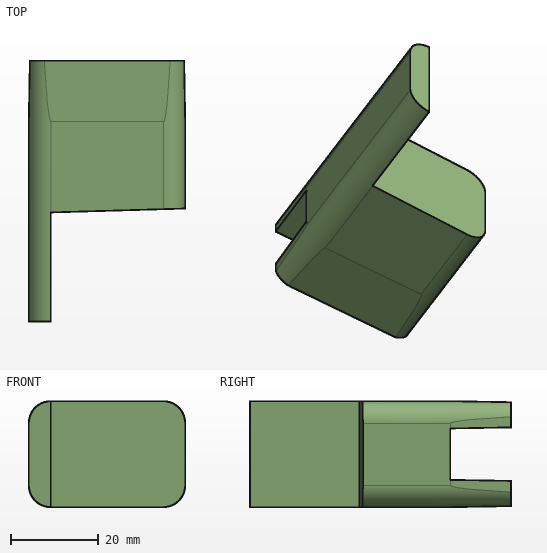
import cadquery as cq
import math

width = 36.0
length = 60.0
height = 24.4
corner_radius = 5.1

slot_depth = 13.9
slot_root_height = 11.75
draft_angle = 1.0
draft_offset = slot_depth * math.tan(math.radians(draft_angle))

plate_thickness = corner_radius
block_length_at_plate = 34.9
block_length_at_side = 34.0

draft_start = length - slot_depth


def make_body():
    """Rounded rectangular bar running along Y."""
    bar = cq.Workplane("XY").box(width, length, height, centered=(False, False, True))
    return bar.edges("|Y").fillet(corner_radius)


def make_front_relief():
    """Cutter that leaves only the side plate ahead of the slanted block face."""
    return (
        cq.Workplane("XY")
        .moveTo(plate_thickness, 0)
        .lineTo(width, 0)
        .lineTo(width, length - block_length_at_side)
        .lineTo(plate_thickness, length - block_length_at_plate)
        .close()
        .extrude(height / 2, both=True)
    )


def make_slot():
    """Rear slot through the width, opening slightly towards the end."""
    root_z = slot_root_height / 2
    mouth_z = root_z + draft_offset
    return (
        cq.Workplane("YZ")
        .polyline([
            (draft_start, -root_z),
            (length, -mouth_z),
            (length, mouth_z),
            (draft_start, root_z),
        ])
        .close()
        .extrude(width)
    )


def make_draft_wedge(plane, face_position, inward, half_depth):
    """Thin wedge that tapers one outer flat inward towards the rear end."""
    return (
        cq.Workplane(plane)
        .polyline([
            (face_position, draft_start),
            (face_position, length),
            (face_position + inward * draft_offset, length),
        ])
        .close()
        .extrude(half_depth, both=True)
    )


result = make_body().cut(make_front_relief()).cut(make_slot())

side_plane = cq.Plane(origin=(0, 0, 0), xDir=(0, 0, 1), normal=(-1, 0, 0))
for position, inward in ((0, 1), (width, -1)):
    result = result.cut(make_draft_wedge("XY", position, inward, height / 2))
for position, inward in ((-height / 2, 1), (height / 2, -1)):
    result = result.cut(make_draft_wedge(side_plane, position, inward, width))